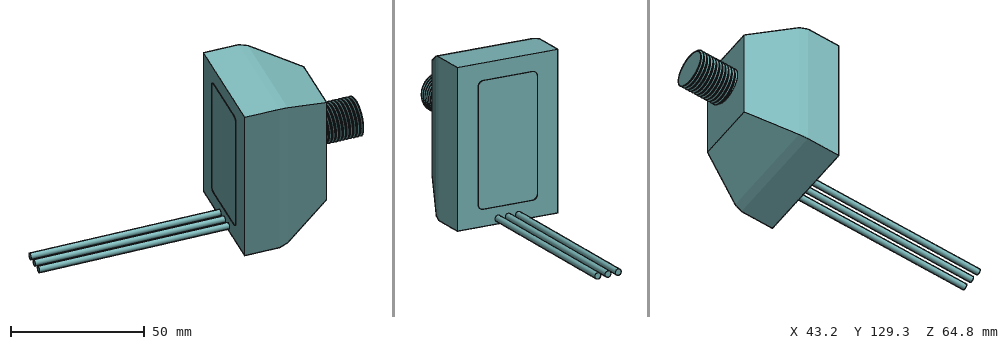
import cadquery as cq
import math


HOUSING_WIDTH = 43.2
HOUSING_HEIGHT = 64.8
HOUSING_DEPTH = 36.6
TAPER_DEPTH = 20.7
TAPER_ANGLE = math.radians(25)
TAPER_CHAMFER = 1.8

STUD_LENGTH = 16.5
STUD_DIAMETER = 15.5
STUD_Z = 3.6
THREAD_TURNS = 11.7
THREAD_PITCH = STUD_LENGTH / THREAD_TURNS
THREAD_DEPTH = 0.8
CREST_WIDTH = THREAD_PITCH / 8
ROOT_WIDTH = THREAD_PITCH / 4
RIDGE_SINK = 0.06
RIDGE_RUNOUT = 1.5 * THREAD_PITCH
CORE_RUNOUT = 2 * THREAD_PITCH

OVERALL_LENGTH = 129.3
WIRE_COUNT = 3
WIRE_DIAMETER = 2.6
WIRE_SPACING = 4.4
WIRE_LENGTH = OVERALL_LENGTH - HOUSING_DEPTH - STUD_LENGTH
WIRE_EDGE_DISTANCE = 2.2
WIRE_ROW_X = 0.3

LABEL_WIDTH = 25.5
LABEL_HEIGHT = 51.0
LABEL_THICKNESS = 0.2
LABEL_CORNER_RADIUS = 2.2


def tapered_slab(plane, width, length):
    """Slab with a tapered outline of the given width, extruded symmetrically to the given length."""
    half_width = width / 2
    end_half_width = half_width - TAPER_DEPTH * math.tan(TAPER_ANGLE)
    corner_y = HOUSING_DEPTH - TAPER_DEPTH

    side_end = (half_width, corner_y - TAPER_CHAMFER)
    taper_start = (
        half_width - TAPER_CHAMFER * math.sin(TAPER_ANGLE),
        corner_y + TAPER_CHAMFER * math.cos(TAPER_ANGLE),
    )

    def mirrored(point):
        return (-point[0], point[1])

    return (
        cq.Workplane(plane)
        .moveTo(-half_width, 0)
        .lineTo(half_width, 0)
        .lineTo(*side_end)
        .lineTo(*taper_start)
        .lineTo(end_half_width, HOUSING_DEPTH)
        .lineTo(-end_half_width, HOUSING_DEPTH)
        .lineTo(*mirrored(taper_start))
        .lineTo(*mirrored(side_end))
        .close()
        .extrude(length / 2, both=True)
    )


def make_housing_block():
    """Block tapered on all four sides: the overlap of a front-to-back slab and a side-to-side slab."""
    plan_slab = tapered_slab(cq.Plane.XY(), HOUSING_WIDTH, HOUSING_HEIGHT)
    side_plane = cq.Plane(origin=(0, 0, 0), xDir=(0, 0, 1), normal=(-1, 0, 0))
    side_slab = tapered_slab(side_plane, HOUSING_HEIGHT, HOUSING_WIDTH)
    return plan_slab.intersect(side_slab)


def make_threaded_stud():
    """Right-hand threaded stud: a round core with one helical ridge, trimmed square at both ends."""
    crest_radius = STUD_DIAMETER / 2
    core_radius = crest_radius - THREAD_DEPTH
    base_radius = core_radius - RIDGE_SINK

    crest_half = CREST_WIDTH / 2
    foot_half = (THREAD_PITCH - ROOT_WIDTH) / 2
    flank_slope = (foot_half - crest_half) / THREAD_DEPTH
    base_half = foot_half + flank_slope * RIDGE_SINK

    start = -RIDGE_RUNOUT
    ridge_length = STUD_LENGTH + 2 * RIDGE_RUNOUT
    helix = cq.Wire.makeHelix(THREAD_PITCH, ridge_length, core_radius, center=cq.Vector(0, 0, start))
    ridge = (
        cq.Workplane("XZ")
        .moveTo(base_radius, start - base_half)
        .lineTo(crest_radius, start - crest_half)
        .lineTo(crest_radius, start + crest_half)
        .lineTo(base_radius, start + base_half)
        .close()
        .sweep(cq.Workplane(helix), isFrenet=True)
    )
    core_length = STUD_LENGTH + 2 * CORE_RUNOUT
    core = cq.Workplane("XY").workplane(offset=-CORE_RUNOUT).circle(core_radius).extrude(core_length)
    stud_space = cq.Workplane("XY").rect(2 * STUD_DIAMETER, 2 * STUD_DIAMETER).extrude(STUD_LENGTH)
    stud = core.union(ridge).intersect(stud_space)
    return stud.rotate((0, 0, 0), (1, 0, 0), -90).translate((0, HOUSING_DEPTH, STUD_Z))


def make_wires():
    """Row of round wires pointing toward -Y along the lower edge of the housing."""
    row_z = WIRE_EDGE_DISTANCE - HOUSING_HEIGHT / 2
    first_x = WIRE_ROW_X - WIRE_SPACING * (WIRE_COUNT - 1) / 2
    centers = [(first_x + i * WIRE_SPACING, row_z) for i in range(WIRE_COUNT)]
    return cq.Workplane("XZ").pushPoints(centers).circle(WIRE_DIAMETER / 2).extrude(WIRE_LENGTH)


def make_housing():
    """Housing with its stud and wires as one solid."""
    return make_housing_block().union(make_threaded_stud()).union(make_wires())


def make_label():
    """Thin plate with rounded corners, lying on the flat side of the housing."""
    return (
        cq.Workplane("XZ")
        .rect(LABEL_WIDTH, LABEL_HEIGHT)
        .extrude(LABEL_THICKNESS)
        .edges("|Y")
        .fillet(LABEL_CORNER_RADIUS)
    )


housing = make_housing()
label = make_label()

result = cq.Compound.makeCompound([housing.solids().val(), label.val()])